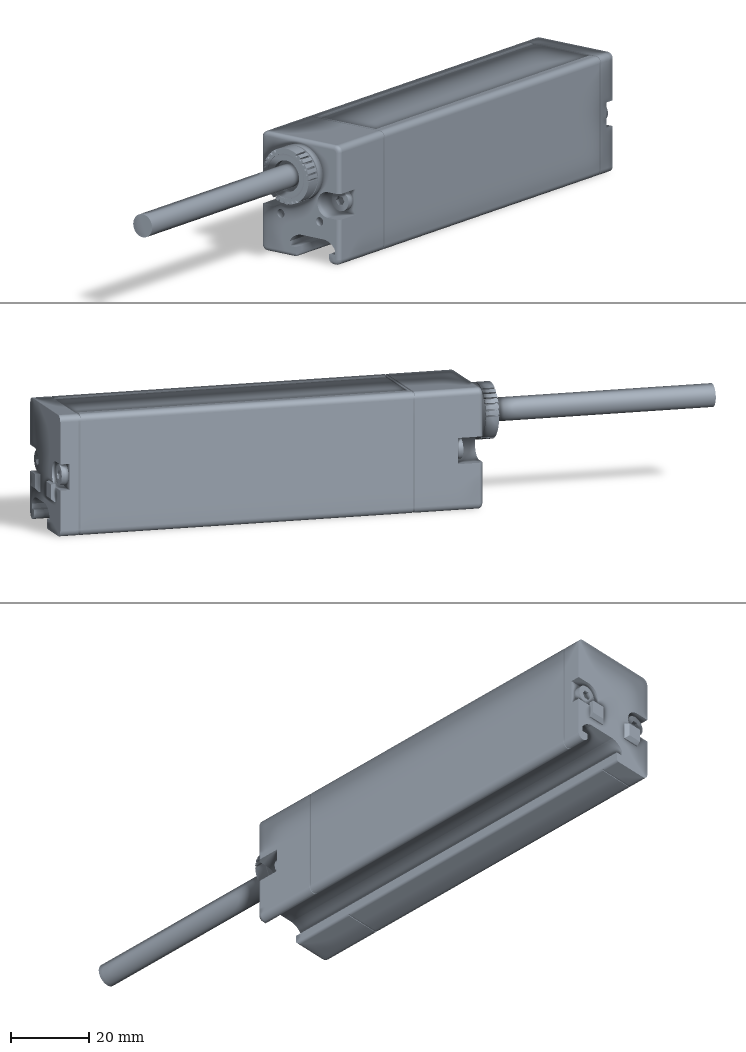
import cadquery as cq
import math

WIDTH = 25.5
HEIGHT = 31.8
OVERALL_LENGTH = 180.5
PAD_HEIGHT = 1.3
HOUSING_BACK = OVERALL_LENGTH - PAD_HEIGHT
HOUSING_FRONT = 65.5
LONG_EDGE_RADIUS = 1.6
FRONT_EDGE_RADIUS = 1.0

FRONT_CAP_LENGTH = 18.6
REAR_CAP_LENGTH = 5.2
FRONT_SEAM = HOUSING_FRONT + FRONT_CAP_LENGTH
REAR_SEAM = HOUSING_BACK - REAR_CAP_LENGTH
SEAM_WIDTH = 0.5
SEAM_DEPTH = 0.2

WINDOW_FLOOR_WIDTH = 18.0
WINDOW_MOUTH_WIDTH = 19.1
WINDOW_DEPTH = 0.4
WINDOW_FRONT = FRONT_SEAM + 0.7

CHANNEL_X = 4.0
CHANNEL_HEIGHT = 6.3
THROAT_HALF_WIDTH = 5.5
CHANNEL_HALF_WIDTH = 7.4
ROOF_HALF_WIDTH = 3.8
LIP_HEIGHT = 2.7
CHANNEL_WALL_TOP = 4.0
ROOF_ARC_RISE = 0.5
LEFT_LIP_RADIUS = 0.7
RIGHT_LIP_RADIUS = 1.8

SCREW_X = 9.0
SCREW_Z = 15.7
RECESS_RADIUS = 3.5
FRONT_RECESS_DEPTH = 6.9
REAR_RECESS_DEPTH = 2.5
SCREW_HEAD_RADIUS = 2.7
SCREW_HEAD_HEIGHT = 1.8
SOCKET_ACROSS_CORNERS = 2.7
SOCKET_SIDES = 6
SOCKET_DEPTH = 1.0

HOLE_X = 6.3
HOLE_Z = 10.8
HOLE_RADIUS = 1.17
HOLE_DEPTH = 1.8
PAD_SIZE = 4.7
PAD_BEVEL = 0.9

CABLE_Z = 23.1
CABLE_RADIUS = 3.0
NUT_RADIUS = 7.4
NUT_LENGTH = 6.0
NUT_FRONT = HOUSING_FRONT - NUT_LENGTH
FACE_RECESS_RADIUS = 6.0
FACE_RECESS_DEPTH = 0.2
BORE_RADIUS = 4.2
BORE_DEPTH = 1.8
COLLAR_LENGTH = 2.3
COLLAR_GROOVE_WIDTH = 0.4
COLLAR_GROOVE_DEPTH = 0.4
FLUTE_ROOT_RADIUS = 6.7
FLUTE_WIDTH = 0.5
FLUTE_PITCH = 12
FLUTES_PER_GROUP = 6
GRIP_ANGLES = (30, 150, 270)


def plane_at(y):
    """Cross-section plane at a given Y: local x is X, local y is Z, extrusion runs toward -Y."""
    return cq.Workplane("XZ", origin=(0, y, 0))


def cylinder(radius, x, z, y_front, y_back):
    return plane_at(y_back).center(x, z).circle(radius).extrude(y_back - y_front)


def case_block(inset, y_front, y_back):
    """Length of the rounded case outline, shrunk by inset on all four sides."""
    return (
        plane_at(y_back)
        .center(0, HEIGHT / 2)
        .rect(WIDTH - 2 * inset, HEIGHT - 2 * inset)
        .extrude(y_back - y_front)
        .edges("|Y")
        .fillet(LONG_EDGE_RADIUS - inset)
    )


def seam_groove(y):
    y_front = y - SEAM_WIDTH / 2
    y_back = y + SEAM_WIDTH / 2
    return case_block(0, y_front, y_back).cut(case_block(SEAM_DEPTH, y_front, y_back))


def window_recess():
    half_floor = WINDOW_FLOOR_WIDTH / 2
    half_mouth = WINDOW_MOUTH_WIDTH / 2
    floor_z = HEIGHT - WINDOW_DEPTH
    return (
        plane_at(REAR_SEAM)
        .moveTo(-half_floor, floor_z)
        .lineTo(half_floor, floor_z)
        .lineTo(half_mouth, HEIGHT)
        .lineTo(-half_mouth, HEIGHT)
        .close()
        .extrude(REAR_SEAM - WINDOW_FRONT)
    )


def shoulder_middle(side):
    """Middle point of the roof shoulder arc on one side of the channel."""
    run = CHANNEL_HALF_WIDTH - ROOF_HALF_WIDTH
    rise = CHANNEL_HEIGHT - CHANNEL_WALL_TOP
    chord = math.hypot(run, rise)
    x = (CHANNEL_HALF_WIDTH + ROOF_HALF_WIDTH) / 2 + ROOF_ARC_RISE * rise / chord
    z = (CHANNEL_HEIGHT + CHANNEL_WALL_TOP) / 2 + ROOF_ARC_RISE * run / chord
    return (side * x, z)


def mounting_channel():
    """Undercut channel with an arched roof and a throat whose mouth flares out over rounded lips."""
    length = HOUSING_BACK - HOUSING_FRONT
    return (
        plane_at(HOUSING_BACK)
        .center(CHANNEL_X, 0)
        .moveTo(-THROAT_HALF_WIDTH - LEFT_LIP_RADIUS, 0)
        .radiusArc((-THROAT_HALF_WIDTH, LEFT_LIP_RADIUS), -LEFT_LIP_RADIUS)
        .lineTo(-THROAT_HALF_WIDTH, LIP_HEIGHT)
        .lineTo(-CHANNEL_HALF_WIDTH, LIP_HEIGHT)
        .lineTo(-CHANNEL_HALF_WIDTH, CHANNEL_WALL_TOP)
        .threePointArc(shoulder_middle(-1), (-ROOF_HALF_WIDTH, CHANNEL_HEIGHT))
        .lineTo(ROOF_HALF_WIDTH, CHANNEL_HEIGHT)
        .threePointArc(shoulder_middle(1), (CHANNEL_HALF_WIDTH, CHANNEL_WALL_TOP))
        .lineTo(CHANNEL_HALF_WIDTH, LIP_HEIGHT)
        .lineTo(THROAT_HALF_WIDTH, LIP_HEIGHT)
        .lineTo(THROAT_HALF_WIDTH, RIGHT_LIP_RADIUS)
        .radiusArc((THROAT_HALF_WIDTH + RIGHT_LIP_RADIUS, 0), -RIGHT_LIP_RADIUS)
        .close()
        .extrude(length)
    )


def screw_recess(side, y_front, y_back):
    """Round-ended recess that runs out through the side wall."""
    length = y_back - y_front
    opening = (
        plane_at(y_back)
        .center(side * (SCREW_X + WIDTH / 2) / 2, SCREW_Z)
        .rect(WIDTH / 2 - SCREW_X, 2 * RECESS_RADIUS)
        .extrude(length)
    )
    return cylinder(RECESS_RADIUS, side * SCREW_X, SCREW_Z, y_front, y_back).union(opening)


def screw_head(side, y_seat, outward):
    """Hex socket head on a recess floor; outward is -1 toward the front, +1 toward the back."""
    y_top = y_seat + outward * SCREW_HEAD_HEIGHT
    y_socket = y_top - outward * SOCKET_DEPTH
    x = side * SCREW_X
    socket = (
        plane_at(max(y_top, y_socket))
        .center(x, SCREW_Z)
        .polygon(SOCKET_SIDES, SOCKET_ACROSS_CORNERS)
        .extrude(SOCKET_DEPTH)
    )
    head = cylinder(SCREW_HEAD_RADIUS, x, SCREW_Z, min(y_seat, y_top), max(y_seat, y_top))
    return head.cut(socket)


def rear_pad(side):
    """Raised square pad, bevelled along its lower edge and the edge toward the centre plane."""
    pad = (
        plane_at(OVERALL_LENGTH)
        .center(side * HOLE_X, HOLE_Z)
        .rect(PAD_SIZE, PAD_SIZE)
        .extrude(PAD_HEIGHT)
    )
    inner_edge = "<X" if side > 0 else ">X"
    return pad.faces(">Y").edges(f"<Z or {inner_edge}").chamfer(PAD_BEVEL)


def make_housing():
    body = case_block(0, HOUSING_FRONT, HOUSING_BACK)
    body = body.faces("<Y").edges().fillet(FRONT_EDGE_RADIUS)
    for seam in (FRONT_SEAM, REAR_SEAM):
        body = body.cut(seam_groove(seam))
    body = body.cut(window_recess())
    body = body.cut(mounting_channel())

    front_seat = HOUSING_FRONT + FRONT_RECESS_DEPTH
    rear_seat = HOUSING_BACK - REAR_RECESS_DEPTH
    for side in (-1, 1):
        body = body.cut(screw_recess(side, HOUSING_FRONT, front_seat))
        body = body.cut(screw_recess(side, rear_seat, HOUSING_BACK))
        body = body.union(screw_head(side, front_seat, -1))
        body = body.union(screw_head(side, rear_seat, 1))
        body = body.cut(
            cylinder(HOLE_RADIUS, side * HOLE_X, HOLE_Z, HOUSING_FRONT, HOUSING_FRONT + HOLE_DEPTH)
        )
        body = body.union(rear_pad(side))
    return body


def ring(outer, inner, y_front, y_back):
    return cylinder(outer, 0, CABLE_Z, y_front, y_back).cut(
        cylinder(inner, 0, CABLE_Z, y_front, y_back)
    )


def nut_flutes():
    """Axial flutes in three groups around the front part of the nut."""
    flute_back = HOUSING_FRONT - COLLAR_LENGTH
    depth = NUT_RADIUS - FLUTE_ROOT_RADIUS
    blank = (
        plane_at(flute_back)
        .center(FLUTE_ROOT_RADIUS + depth, CABLE_Z)
        .rect(2 * depth, FLUTE_WIDTH)
        .extrude(flute_back - NUT_FRONT)
    )
    middle = (FLUTES_PER_GROUP - 1) / 2
    flutes = cq.Workplane("XZ")
    for grip_angle in GRIP_ANGLES:
        for index in range(FLUTES_PER_GROUP):
            angle = grip_angle + (index - middle) * FLUTE_PITCH
            flutes = flutes.add(blank.rotate((0, 0, CABLE_Z), (0, -1, CABLE_Z), angle))
    return flutes.combine()


def make_cable():
    nut = cylinder(NUT_RADIUS, 0, CABLE_Z, NUT_FRONT, HOUSING_FRONT)
    nut = nut.cut(cylinder(BORE_RADIUS, 0, CABLE_Z, NUT_FRONT, NUT_FRONT + BORE_DEPTH))
    nut = nut.cut(cylinder(FACE_RECESS_RADIUS, 0, CABLE_Z, NUT_FRONT, NUT_FRONT + FACE_RECESS_DEPTH))
    collar_front = HOUSING_FRONT - COLLAR_LENGTH
    groove_back = collar_front + COLLAR_GROOVE_WIDTH
    nut = nut.cut(ring(NUT_RADIUS, NUT_RADIUS - COLLAR_GROOVE_DEPTH, collar_front, groove_back))
    nut = nut.cut(nut_flutes())
    return nut.union(cylinder(CABLE_RADIUS, 0, CABLE_Z, 0, HOUSING_FRONT))


housing = make_housing()
cable = make_cable()

result = cq.Compound.makeCompound([housing.val(), cable.val()])